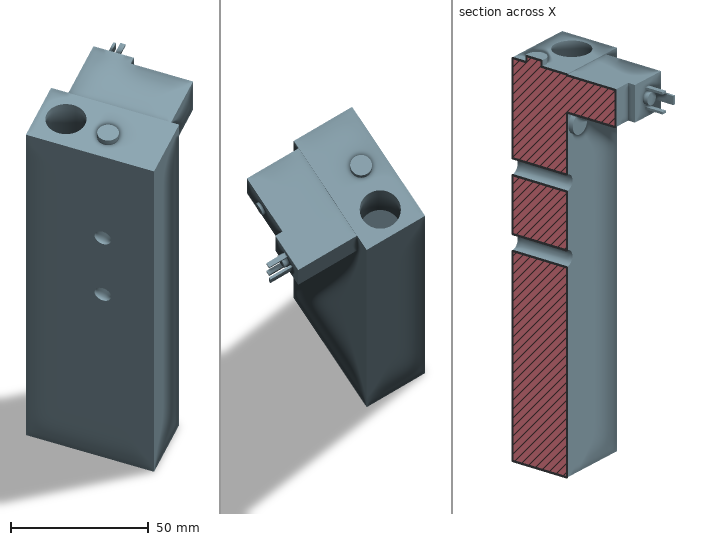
import cadquery as cq

body_width = 50.0
body_depth = body_width / 2
total_height = 162.5
pin_height = 2.5
body_height = total_height - pin_height

port_diameter = 15.0
port_depth = 20.0
port_x = 10.7
port_y = body_depth / 2
pin_diameter = 8.0
pin_x = 28.3
pin_y = 9.8

mount_diameter = 6.5
mount_x = 30.0
mount_heights = (86.8, 116.8)

coil_left = 6.7
coil_right = 46.8
coil_step_x = 22.5
coil_height = 15.0
coil_top_gap = 0.3
coil_depth = 22.1
connector_depth = 25.2
coil_top_z = body_height - coil_top_gap
coil_middle_z = coil_top_z - coil_height / 2
coil_back_y = body_depth + coil_depth
connector_back_y = body_depth + connector_depth

post_diameter = 5.0
post_length = 2.1
contact_x = 15.1
contact_width = 2.0
contact_length = 7.8
contact_offset = 3.9
blade_thickness = 1.0
earth_x = 11.2
earth_width = 3.5
total_depth = 59.6
earth_length = total_depth - connector_back_y

coil_button_diameter = 5.0
coil_button_x = 36.5
coil_button_length = 1.1
body_button_diameter = 8.6
body_button_x = body_width / 2
body_button_z = 139.3
body_button_length = 2.1


def block(x_min, x_max, y_min, y_max, z_min, z_max):
    """Box between the given limits."""
    box = cq.Workplane("XY").box(x_max - x_min, y_max - y_min, z_max - z_min, centered=False)
    return box.translate((x_min, y_min, z_min))


def back_cylinder(x, y, z, diameter, length):
    """Cylinder running from (x, y, z) toward +Y."""
    return cq.Workplane("XZ", origin=(x, y, z)).circle(diameter / 2).extrude(-length)


def blade(x, z, width, height, length):
    """Flat contact standing on the connector face, centred on x and z."""
    return block(
        x - width / 2, x + width / 2,
        connector_back_y, connector_back_y + length,
        z - height / 2, z + height / 2,
    )


result = block(0, body_width, 0, body_depth, 0, body_height)
top_plane = cq.Workplane("XY", origin=(0, 0, body_height))
result = result.union(top_plane.center(pin_x, pin_y).circle(pin_diameter / 2).extrude(pin_height))
result = result.cut(top_plane.center(port_x, port_y).circle(port_diameter / 2).extrude(-port_depth))
for mount_z in mount_heights:
    result = result.cut(back_cylinder(mount_x, 0, mount_z, mount_diameter, body_depth))

coil_bottom_z = coil_top_z - coil_height
result = result.union(block(coil_left, coil_right, body_depth, coil_back_y, coil_bottom_z, coil_top_z))
result = result.union(block(coil_left, coil_step_x, body_depth, connector_back_y, coil_bottom_z, coil_top_z))

result = result.union(back_cylinder(contact_x, connector_back_y, coil_middle_z, post_diameter, post_length))
result = result.union(blade(earth_x, coil_middle_z, blade_thickness, earth_width, earth_length))
for side in (-1, 1):
    contact_z = coil_middle_z + side * contact_offset
    result = result.union(blade(contact_x, contact_z, contact_width, blade_thickness, contact_length))

result = result.union(
    back_cylinder(coil_button_x, coil_back_y, coil_middle_z, coil_button_diameter, coil_button_length)
)
result = result.union(
    back_cylinder(body_button_x, body_depth, body_button_z, body_button_diameter, body_button_length)
)